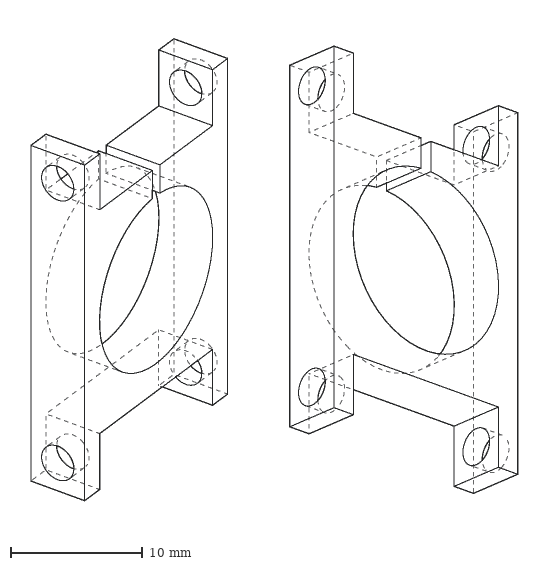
import cadquery as cq

height = 30.0
width = 19.0
depth = 5.0

rail_thickness = 2.0
body_height = 20.0

bore_diameter = 15.0
slit_width = 1.0

hole_diameter = 3.0
hole_spacing = height - depth


def make_rail(side):
    """Upright rail on the +Y (side = 1) or -Y (side = -1) edge."""
    rail_offset = side * (width - rail_thickness) / 2
    return cq.Workplane("XY").box(depth, rail_thickness, height).translate((0, rail_offset, 0))


def make_slit():
    """Cutter from the bore axis up through the top of the body."""
    slit_height = body_height / 2
    return cq.Workplane("XY").box(depth, slit_width, slit_height, centered=(True, True, False))


def make_bore():
    """Round cutter along X."""
    return cq.Workplane("YZ", origin=(-depth / 2, 0, 0)).circle(bore_diameter / 2).extrude(depth)


def make_mounting_holes():
    """Two cutters along Y, each passing through both rails."""
    return (
        cq.Workplane("XZ", origin=(0, width / 2, 0))
        .rarray(0.3, hole_spacing, 1, 2)
        .circle(hole_diameter / 2)
        .extrude(width)
    )


body = cq.Workplane("XY").box(depth, width, body_height)
frame = body.union(make_rail(1)).union(make_rail(-1))
result = frame.cut(make_bore()).cut(make_slit()).cut(make_mounting_holes())